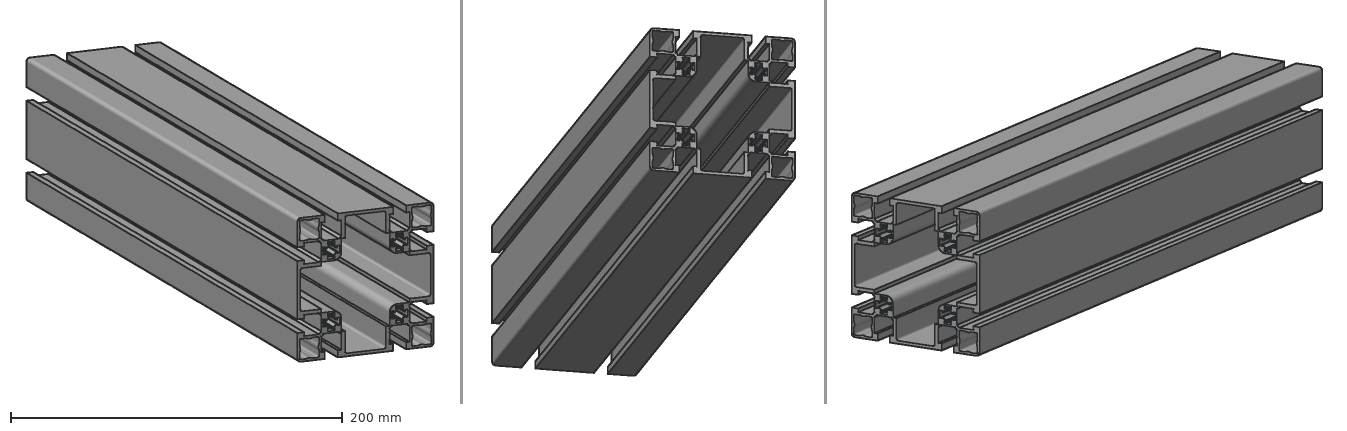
import cadquery as cq

LENGTH = 400.0
WIDTH = 90.0
HALF = WIDTH / 2

SLOT_CENTRE = WIDTH / 4
SLOT_OPENING = 8.5
SLOT_INNER_WIDTH = 13.2
LIP_DEPTH = 4.5
SLOT_NEAR = SLOT_CENTRE - SLOT_INNER_WIDTH / 2
SLOT_FAR = SLOT_CENTRE + SLOT_INNER_WIDTH / 2
LIP_NEAR = SLOT_CENTRE - SLOT_OPENING / 2
LIP_FAR = SLOT_CENTRE + SLOT_OPENING / 2

PLATE_WALL = 2.0
LEG_WALL = 2.4
PLATE_FILLET = 1.6

CORNER_WALL = 1.5
CORNER_RADIUS = 2.5
CORNER_INNER_RADIUS = 1.0
CORNER_MIN = SLOT_FAR + CORNER_WALL
CORNER_MAX = HALF - CORNER_WALL
RIB_BASE_HALF = 2.4
RIB_TOP_HALF = 0.6
RIB_HEIGHT = 0.5

CORE_RADIUS = 5.0
CORE_WALL = 1.2
HOLE_DIAMETER = 6.8
NECK_HALF = 1.2
POCKET_HALF = 2.3
POCKET_START = 3.9
POCKET_END = SLOT_INNER_WIDTH / 2 - CORE_WALL

TIE = 1.6


def bar(y0, y1, z0, z1):
    """Full-length rectangular bar between two Y and two Z positions."""
    middle = (0, (y0 + y1) / 2, (z0 + z1) / 2)
    return cq.Workplane("XY").box(LENGTH, y1 - y0, z1 - z0).translate(middle)


def prism(points):
    """Full-length prism over a polygon of (Y, Z) points."""
    return cq.Workplane("YZ").polyline(points).close().extrude(LENGTH / 2, both=True)


def with_twin(shape):
    """Add the same shape with Y and Z exchanged."""
    return shape.union(shape.mirror("XY").rotate((0, 0, 0), (1, 0, 0), 90))


def four_around(shape, centre):
    """Four copies of a shape turned about a point on the diagonal of the quadrant."""
    axis_start = (0, centre, centre)
    axis_end = (1, centre, centre)
    copies = shape
    for turn in range(1, 4):
        copies = copies.union(shape.rotate(axis_start, axis_end, 90 * turn))
    return copies


def corner_square():
    """Hollow square in the corner, with the slot lips that extend its outer walls."""
    outer = bar(SLOT_FAR, HALF, SLOT_FAR, HALF).edges("|X and >Y and >Z").fillet(CORNER_RADIUS)
    cavity = bar(CORNER_MIN, CORNER_MAX, CORNER_MIN, CORNER_MAX).edges("|X").fillet(CORNER_INNER_RADIUS)
    middle = (CORNER_MIN + CORNER_MAX) / 2
    rib = prism([
        (middle - RIB_BASE_HALF, CORNER_MAX),
        (middle + RIB_BASE_HALF, CORNER_MAX),
        (middle + RIB_TOP_HALF, CORNER_MAX - RIB_HEIGHT),
        (middle - RIB_TOP_HALF, CORNER_MAX - RIB_HEIGHT),
    ])
    lip = bar(LIP_FAR, CORNER_MIN, HALF - LIP_DEPTH, HALF)
    return outer.cut(cavity.cut(four_around(rib, middle))).union(with_twin(lip))


def screw_core():
    """Core behind the two slots, rounded on the side facing the central cavity."""
    body = bar(SLOT_NEAR, SLOT_FAR, SLOT_NEAR, SLOT_FAR).edges("|X and <Y and <Z").fillet(CORE_RADIUS)
    centre = SLOT_CENTRE
    hole = cq.Workplane("YZ").center(centre, centre).circle(HOLE_DIAMETER / 2).extrude(LENGTH / 2, both=True)
    neck = bar(centre - NECK_HALF, centre + NECK_HALF, centre, centre + POCKET_END)
    head = bar(centre - POCKET_HALF, centre + POCKET_HALF, centre + POCKET_START, centre + POCKET_END)
    return body.cut(hole).cut(four_around(neck.union(head), centre))


def half_plate():
    """Half of the outer plate on the +Z side, with its lip and leg."""
    lip = bar(0, LIP_NEAR, HALF - LIP_DEPTH, HALF)
    leg = bar(0, SLOT_NEAR, SLOT_FAR, HALF)
    recess = bar(0, SLOT_NEAR - LEG_WALL, 0, HALF - PLATE_WALL)
    recess = recess.edges("|X and >Y and >Z").fillet(PLATE_FILLET)
    return lip.union(leg).cut(recess)


def ties():
    """Small 45-degree webs that join the core to its three neighbours."""
    far = SLOT_FAR
    near = SLOT_NEAR
    corner_tie = prism([(far - TIE, far), (far, far - TIE), (far + TIE, far), (far, far + TIE)])
    leg_tie = prism([(near, far), (near + TIE, far), (near, far + TIE)])
    return corner_tie.union(with_twin(leg_tie))


quadrant = corner_square().union(ties()).union(screw_core()).union(with_twin(half_plate()))
upper = quadrant.union(quadrant.mirror("XZ"))
result = upper.union(upper.mirror("XY"))